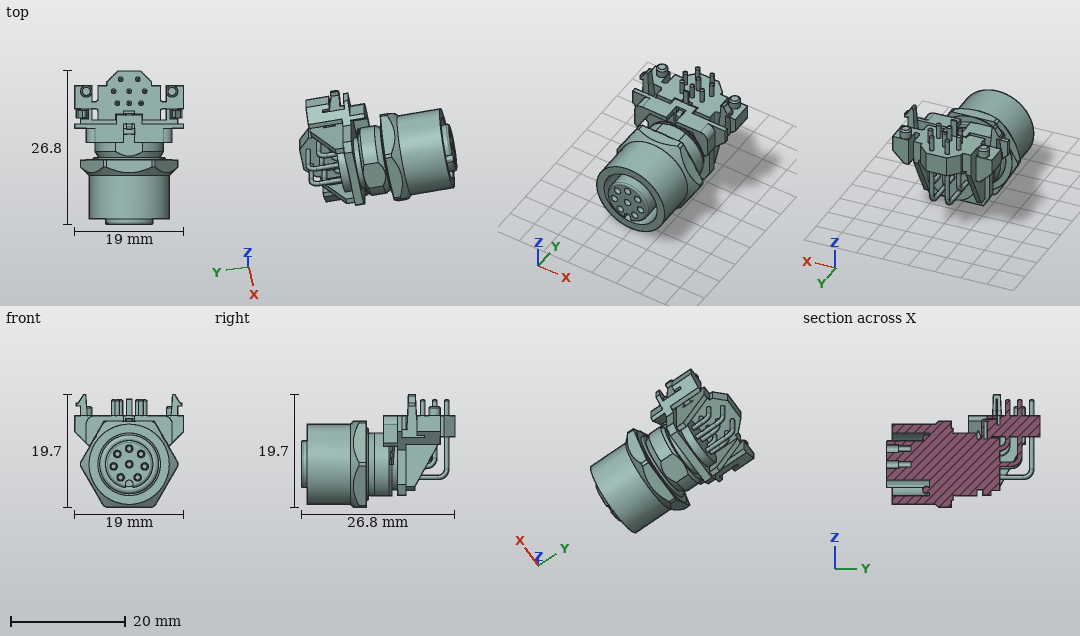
import cadquery as cq
import math


nut_bore_end = 7.5
nut_front = 1.02
nut_cone_front = 8.55
nut_back = 11.25
nut_washer_thickness = 0.1
nut_radius = 14.0 / 2
nut_bore_radius = 10.9 / 2
hex_half_flats = 7.5
hex_corner_radius = 8.5

washer_back = nut_back + nut_washer_thickness
flange_back = 11.7
flange_radius = 6.32
flange_rounding = 0.3
neck_radius = 10.7 / 2
barrel_radius = 5.98
barrel_front = 12.75
barrel_bevel_start = 15.3
barrel_back = 15.8
barrel_bevel = barrel_back - barrel_bevel_start
barrel_half_flats = 5.5
spigot_radius = 8.9 / 2

insert_radius = 4.13
insert_face_radius = 7.6 / 2
insert_rounding = insert_radius - insert_face_radius
contact_circle = 2.73
contact_step = 49.0
contact_angles = [contact_step * n for n in range(-3, 4)]
contact_mouth = 1.3
contact_mouth_depth = 2.15
contact_bore = 0.9
contact_depth = 4.3
key_width = 1.3
key_top = -2.75
seal_radius = 4.5
seal_thickness = 1.29

cover_front = 14.28
plate_front = 16.8
plate_back = 17.58
gap_back = 18.28
arm_back = 20.2
bridge_back = 21.45
side_back = 24.25
tail_shoulder = 24.87
housing_back = 26.8

housing_half = 19.0 / 2
housing_top = 8.47
block_bottom = 4.8
block_half = 5.47
tail_half = 3.9
tail_tip_half = 1.98
side_inner = 6.45
slot_rounding = 0.45
side_bottom = 3.45
skirt_top = 5.68
stem_half = 6.32
stem_corner_z = -3.48
stem_bottom = -5.45
stem_corner_slope = math.radians(30)
arm_half = 8.5
shelf_top = 6.05
relief_top = 5.0
cover_half = 7.5
cover_rounding = 1.53
cover_hex_half_flats = hex_half_flats + 0.05

web_thickness = 0.9
web_end_y = 19.8
web_bottom = -3.9
web_top_y = 24.25
web_top_z = 4.2
boss_radius = 4.6

tongue_half = 2.25
tongue_back = 19.08
tongue_side_gap = 0.1
tongue_back_gap = 0.2
slot_half = 0.96
blade_pocket_back = 19.78
blade_pocket_depth = 1.6
blade_half = 0.5
blade_thickness = 0.27
blade_top = 11.35
blade_foot_half = 0.75
blade_foot_top = 8.58
strip_half = 0.48
strip_top = 7.85
strip_front = 16.6
strip_bend = 0.5
window_half = 0.65
window_bottom = 7.48
window_top = 7.95
spring_radius = 5.9
spring_inner_radius = 4.31
spring_thickness = 0.6
spring_rim = 0.25
spring_back_radius = 5.1
spring_front = 15.45
spring_tilt = 4.3

pin_diameter = 0.8
pin_shoulder = 11.07
pin_tip = 11.3
pin_tip_diameter = 0.27
pin_bend = 1.5
pin_row_back = 25.35
pin_row_middle = 23.25
pin_row_front = 21.17
pin_root_y = 17.7
peg_diameter = 2.0
peg_chamfer = 0.3
peg_x = 7.48
peg_y = 23.24
peg_top = 10.1
clip_top = 12.2
clip_foot_inner = 7.05
clip_neck_inner = 7.37
clip_neck_z = 9.4
clip_tip_inner = 7.53
clip_tip_x = 7.8
clip_tip_start_z = 12.03
clip_ramp_top = (8.1, 11.93)
clip_ramp_middle = (8.42, 11.42)
clip_ramp_foot_x = 8.92
barb_x = 9.25
barb_bottom = 10.15
barb_top = 10.65
barb_rounding = 0.21
clip_foot_span = (18.4, 20.23)
clip_tip_span = (18.65, 19.89)
overlap = 0.27


def box(x0, x1, y0, y1, z0, z1):
    """Axis-aligned box between two corners."""
    return cq.Workplane("XY").box(x1 - x0, y1 - y0, z1 - z0, centered=False).translate((x0, y0, z0))


def turned(points):
    """Solid of revolution about the Y axis from (radius, y) points."""
    return cq.Workplane("XY").polyline(points).close().revolve(360, (0, 0, 0), (0, 1, 0))


def prism_xz(points, y0, y1):
    """Outline of (x, z) points extruded from y0 to y1."""
    return cq.Workplane("XZ", origin=(0, y0, 0)).polyline(points).close().extrude(y0 - y1)


def rod_y(diameter, x, z, y0, y1):
    """Round rod along Y."""
    return cq.Workplane("XZ", origin=(x, y0, z)).circle(diameter / 2).extrude(y0 - y1)


def hexagon(half_flats, y0, y1):
    """Hexagonal bar along Y with flats at the top and bottom."""
    corner_diameter = 2 * half_flats / math.cos(math.pi / 6)
    return cq.Workplane("XZ", origin=(0, y0, 0)).polygon(6, corner_diameter).extrude(y0 - y1)


def both_sides(solid):
    """The solid together with its mirror image across the YZ plane."""
    return solid.union(solid.mirror("YZ"))


def contact_position(angle):
    """Position (x, z) on the contact circle, the angle measured from the top."""
    turn = math.radians(angle)
    return contact_circle * math.sin(turn), contact_circle * math.cos(turn)


def make_nut():
    corner_start = nut_cone_front + hex_corner_radius - nut_radius
    envelope = turned([
        (0, nut_front),
        (nut_radius, nut_front),
        (nut_radius, nut_cone_front),
        (hex_corner_radius, corner_start),
        (hex_corner_radius, nut_back),
        (0, nut_back),
    ])
    sleeve = rod_y(2 * nut_radius, 0, 0, nut_front, nut_cone_front)
    head = hexagon(hex_half_flats, nut_cone_front, nut_back).intersect(envelope)
    washer = rod_y(2 * hex_half_flats, 0, 0, nut_back, washer_back)
    bore = rod_y(2 * nut_bore_radius, 0, 0, nut_front, nut_bore_end)
    return sleeve.union(head).union(washer).cut(bore)


def make_barrel():
    flange = rod_y(2 * flange_radius, 0, 0, washer_back - overlap, flange_back)
    flange = flange.faces(">Y").edges().fillet(flange_rounding)
    barrel = turned([
        (0, flange_back),
        (neck_radius, flange_back),
        (barrel_radius, barrel_front),
        (barrel_radius, barrel_bevel_start),
        (barrel_radius - barrel_bevel, barrel_back),
        (0, barrel_back),
    ])
    flats = box(-barrel_radius, barrel_radius, flange_back, barrel_back,
                -barrel_half_flats, barrel_half_flats)
    spigot = rod_y(2 * spigot_radius, 0, 0, barrel_back - overlap, plate_front + overlap)
    return flange.union(barrel.intersect(flats)).union(spigot)


def make_insert():
    insert = rod_y(2 * insert_radius, 0, 0, 0, nut_bore_end + overlap)
    insert = insert.faces("<Y").edges().fillet(insert_rounding)
    for x, z in [(0, 0)] + [contact_position(angle) for angle in contact_angles]:
        insert = insert.cut(rod_y(contact_mouth, x, z, 0, contact_mouth_depth))
        insert = insert.cut(rod_y(contact_bore, x, z, 0, contact_depth))
    key_centre = key_top - key_width / 2
    key_arch = rod_y(key_width, 0, key_centre, 0, nut_bore_end)
    key_slot = box(-key_width / 2, key_width / 2, 0, nut_bore_end, -insert_radius, key_centre)
    return insert.cut(key_arch).cut(key_slot)


def make_seal():
    seal_y = nut_bore_end - seal_thickness / 2 + overlap / 2
    ring = cq.Workplane("XY").center(seal_radius, seal_y).circle(seal_thickness / 2)
    return ring.revolve(360, (-seal_radius, 0, 0), (-seal_radius, 1, 0))


def plate_outline(top):
    """Plate outline up to the given height: shoulders, 45 degree skirts and a stem with bevelled corners."""
    skirt_end = skirt_top - (housing_half - stem_half)
    foot_half = stem_half - (stem_corner_z - stem_bottom) * math.tan(stem_corner_slope)
    right = [
        (housing_half, top),
        (housing_half, skirt_top),
        (stem_half, skirt_end),
        (stem_half, stem_corner_z),
        (foot_half, stem_bottom),
    ]
    return right + [(-x, z) for x, z in reversed(right)]


def make_plate():
    plate = prism_xz(plate_outline(housing_top), plate_front, plate_back)
    rear = prism_xz(plate_outline(shelf_top), plate_back, gap_back)
    rear = rear.intersect(box(-arm_half, arm_half, plate_back, gap_back, stem_bottom, shelf_top))
    tongue = box(-tongue_half, tongue_half, plate_back, tongue_back, block_bottom, housing_top)
    return plate.union(rear).union(tongue)


def make_cover():
    cover = box(-cover_half, cover_half, cover_front, plate_front, 0, housing_top)
    cover = cover.edges("|Y and >Z").fillet(cover_rounding)
    cover = cover.intersect(prism_xz(plate_outline(housing_top), cover_front, plate_front))
    return cover.cut(hexagon(cover_hex_half_flats, cover_front, plate_front))


def make_centre_block():
    right = [
        (block_half, gap_back),
        (block_half, side_back),
        (tail_half, side_back),
        (tail_half, tail_shoulder),
        (tail_tip_half, housing_back),
    ]
    outline = right + [(-x, y) for x, y in reversed(right)]
    height = housing_top - block_bottom
    block = cq.Workplane("XY", origin=(0, 0, block_bottom)).polyline(outline).close().extrude(height)
    pocket_half = tongue_half + tongue_side_gap
    pocket_back = tongue_back + tongue_back_gap
    tongue_gap = box(-pocket_half, pocket_half, gap_back, pocket_back, shelf_top, housing_top)
    pocket_floor = housing_top - blade_pocket_depth
    blade_pocket = box(-slot_half, slot_half, gap_back, blade_pocket_back, pocket_floor, housing_top)
    return block.cut(tongue_gap).cut(blade_pocket)


def make_side_block():
    """Right-hand side block with its peg, the arm to the plate and the bridge to the centre block."""
    skirt_foot = housing_half - (skirt_top - side_bottom)
    outline = [
        (side_inner, housing_top),
        (housing_half, housing_top),
        (housing_half, skirt_top),
        (skirt_foot, side_bottom),
        (side_inner, side_bottom),
    ]
    block = prism_xz(outline, arm_back, side_back)
    block = block.cut(box(arm_half, housing_half, arm_back, bridge_back, side_bottom, relief_top))
    arm = prism_xz(outline, plate_back, arm_back)
    arm = arm.intersect(box(side_inner, arm_half, plate_back, arm_back, side_bottom, shelf_top))

    bridge = box(block_half, side_inner, arm_back - slot_rounding, bridge_back + slot_rounding,
                 block_bottom, housing_top)
    corner_x = block_half + slot_rounding
    height = housing_top - block_bottom
    for y, direction in ((arm_back, -1), (bridge_back, 1)):
        centre_y = y + direction * slot_rounding
        corner = cq.Workplane("XY", origin=(corner_x, centre_y, block_bottom)).circle(slot_rounding)
        bridge = bridge.cut(corner.extrude(height))
        y0, y1 = sorted((y, centre_y))
        bridge = bridge.cut(box(corner_x, side_inner, y0, y1, block_bottom, housing_top))

    peg_height = peg_top - housing_top + overlap
    peg = cq.Workplane("XY", origin=(peg_x, peg_y, housing_top - overlap)).circle(peg_diameter / 2)
    peg = peg.extrude(peg_height).faces(">Z").chamfer(peg_chamfer)
    return block.union(arm).union(bridge).union(peg)


def make_clip():
    """Right-hand snap clip: a barbed, tapering finger standing on the arm."""
    profile = (
        cq.Workplane("XZ", origin=(0, gap_back, 0))
        .moveTo(clip_foot_inner, shelf_top - overlap)
        .lineTo(arm_half, shelf_top - overlap)
        .lineTo(arm_half, barb_bottom)
        .lineTo(barb_x, barb_bottom)
        .lineTo(barb_x, barb_top)
        .lineTo(clip_ramp_foot_x, barb_top)
        .threePointArc(clip_ramp_middle, clip_ramp_top)
        .threePointArc((clip_tip_x, clip_top), (clip_tip_inner, clip_tip_start_z))
        .lineTo(clip_neck_inner, clip_neck_z)
        .close()
        .extrude(gap_back - bridge_back)
    )
    taper_outline = [
        (clip_foot_span[0], shelf_top - overlap),
        (clip_foot_span[1], shelf_top - overlap),
        (clip_tip_span[1], clip_top),
        (clip_tip_span[0], clip_top),
    ]
    taper = (
        cq.Workplane("YZ", origin=(side_inner, 0, 0))
        .polyline(taper_outline)
        .close()
        .extrude(housing_half - side_inner)
    )
    clip = profile.intersect(taper)
    barb_corners = clip.faces(">X").edges("not(|X or |Y)")
    return barb_corners.fillet(barb_rounding)


def make_web():
    """Right-hand triangular web bracing the plate against the centre block."""
    outline = [
        (gap_back - overlap, block_bottom),
        (web_top_y, block_bottom),
        (web_top_y, web_top_z),
        (web_end_y, web_bottom),
        (gap_back - overlap, web_bottom),
    ]
    plane = cq.Workplane("YZ", origin=(block_half - web_thickness, 0, 0))
    return plane.polyline(outline).close().extrude(web_thickness)


def make_ground_contact():
    """Blade through the block, a strip through the plate and two tilted prongs round the spigot."""
    blade_back = tongue_back + blade_thickness
    foot_bottom = housing_top - blade_pocket_depth
    blade = box(-blade_half, blade_half, tongue_back, blade_back, block_bottom, blade_top)
    foot = prism_xz([
        (-blade_foot_half, foot_bottom),
        (blade_foot_half, foot_bottom),
        (blade_half, blade_foot_top),
        (-blade_half, blade_foot_top),
    ], tongue_back, blade_back)

    strip = box(-strip_half, strip_half, strip_front, blade_back, window_bottom, strip_top)
    drop = box(-strip_half, strip_half, strip_front, plate_front + overlap, spring_inner_radius, strip_top)
    strip = strip.union(drop).edges("|X and >Z and <Y").fillet(strip_bend)

    ring = turned([
        (spring_inner_radius, spring_front),
        (spring_radius, spring_front),
        (spring_radius, spring_front + spring_rim),
        (spring_back_radius, spring_front + spring_thickness),
        (spring_inner_radius, spring_front + spring_thickness),
    ])
    ring = ring.intersect(box(-spring_radius, spring_radius, spring_front, plate_front, 0, spring_radius))
    ring = ring.cut(box(-slot_half, slot_half, spring_front, plate_front, 0, spring_radius))
    ring = ring.rotate((0, spring_front, 0), (1, spring_front, 0), -spring_tilt)
    return blade.union(foot).union(strip).union(ring)


def make_pin(x, z, y):
    """Pin from a contact at (x, z), bent upward into the row at the given y."""
    path = (
        cq.Workplane("YZ", origin=(x, 0, 0))
        .moveTo(pin_root_y, z)
        .lineTo(y - pin_bend, z)
        .radiusArc((y, z + pin_bend), -pin_bend)
        .lineTo(y, pin_shoulder)
    )
    wire = cq.Workplane("XZ", origin=(x, pin_root_y, z)).circle(pin_diameter / 2).sweep(path)
    tip = cq.Workplane("XY", origin=(x, y, pin_shoulder)).circle(pin_diameter / 2)
    tip = tip.workplane(offset=pin_tip - pin_shoulder).circle(pin_tip_diameter / 2).loft()
    return wire.union(tip)


def make_housing():
    housing = make_plate().union(make_cover()).union(make_centre_block())
    housing = housing.union(both_sides(make_side_block())).union(both_sides(make_clip()))
    housing = housing.union(both_sides(make_web()))
    housing = housing.union(rod_y(2 * boss_radius, 0, 0, gap_back - overlap, web_end_y))
    contact_slot = box(-slot_half, slot_half, cover_front, plate_back, spigot_radius, housing_top)
    window = box(-window_half, window_half, plate_back, blade_pocket_back, window_bottom, window_top)
    return housing.cut(contact_slot).cut(window)


rows_from_top = [pin_row_front, pin_row_front, pin_row_middle, pin_row_back]
pins = [(0, 0, pin_row_middle)]
for contact_angle in contact_angles:
    contact_x, contact_z = contact_position(contact_angle)
    steps_from_top = round(abs(contact_angle) / contact_step)
    pins.append((contact_x, contact_z, rows_from_top[steps_from_top]))

result = make_nut().union(make_barrel()).union(make_insert()).union(make_seal())
result = result.union(make_housing()).union(make_ground_contact())
for pin in pins:
    result = result.union(make_pin(*pin))